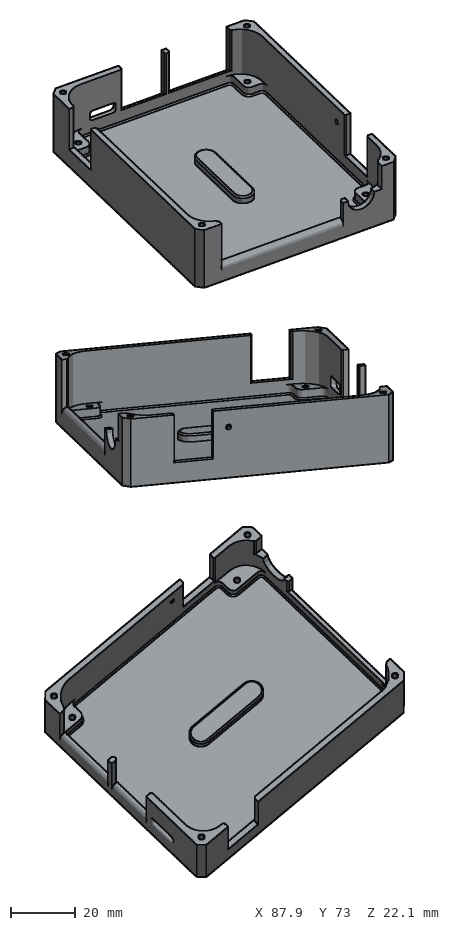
import cadquery as cq
import math

LENGTH = 87.9
WIDTH = 73.0
HEIGHT = 22.1
CORNER_CHAMFER = 2.1

WALL = 2.0
LEFT_WALL = 2.25
FLOOR = 1.8
CAVITY_RADIUS = 8.0
FLOOR_CHAMFER = 0.5
CAVITY_LEFT = LEFT_WALL - LENGTH / 2
CAVITY_RIGHT = LENGTH / 2 - WALL
CAVITY_BACK = WIDTH / 2 - WALL
CAVITY_FRONT = -CAVITY_BACK

SCREW_MOUTH_ANGLE = 45
SCREW_HOLE_DIAMETER = 1.62
SCREW_MOUTH_DIAMETER = 2.0
SCREW_MOUTH_DEPTH = (SCREW_MOUTH_DIAMETER - SCREW_HOLE_DIAMETER) / 2

BOSS_TOP = 5.0
BOSS_CORNER_RADIUS = 2.05
BOSS_ROOT_RADIUS = 1.65
BOSS_CORNERS = [(-32.85, 28.25), (29.8, 28.15), (-32.65, -28.1), (30.6, -29.15)]
BOSS_HOLES = [(-36.0, 30.5), (33.8, 30.5), (-36.0, -31.0), (33.8, -31.7)]
BOSS_HOLE_DEPTH = BOSS_TOP - FLOOR

LID_HOLE_X = 41.0
LID_HOLE_Y = 33.45
LID_HOLE_DEPTH = 10.0

PAD_CENTER = (0.45, -0.3)
PAD_LENGTH = 28.8
PAD_WIDTH = 7.2
PAD_HEIGHT = 2.5
PAD_CHAMFER = 0.55

SILL = 6.6
SILL_ROUNDING = 2.0
OPENING_FLARE = 0.45
INNER_CLEARANCE = 1.0
NOTCH_WIDTH = 12.65
FRONT_NOTCH_START = -32.5
BACK_NOTCH_START = 15.15
LEFT_OPENINGS = [(-11.5, 4.1), (5.8, 27.75)]
RIGHT_OPENING = (-28.1, 16.15)

CRADLE_TOP = 13.3
CRADLE_RADIUS = 4.75
CRADLE_Y = 22.65
RECESS_END = 30.1

SLOT_Y = -18.5
SLOT_Z = 8.55
SLOT_LENGTH = 9.4
SLOT_HEIGHT = 3.6
SLOT_CORNER_RADIUS = 1.03
SLOT_ENTRY_FILLET = 1.0

WALL_HOLE_DIAMETER = 1.62
WALL_HOLE_X = 10.15
WALL_HOLE_Z = 16.5


def block(x_range, y_range, z_range):
    """Box spanning the given ranges."""
    size = [end - start for start, end in (x_range, y_range, z_range)]
    corner = (x_range[0], y_range[0], z_range[0])
    return cq.Workplane("XY").box(*size, centered=False).translate(corner)


def shell():
    """Chamfered block with the rounded cavity above the corner bosses."""
    body = cq.Workplane("XY").rect(LENGTH, WIDTH).extrude(HEIGHT).edges("|Z").chamfer(CORNER_CHAMFER)
    cavity = block((CAVITY_LEFT, CAVITY_RIGHT), (CAVITY_FRONT, CAVITY_BACK), (BOSS_TOP, HEIGHT))
    return body.cut(cavity.edges("|Z").fillet(CAVITY_RADIUS))


def fillet_upright_edges(pocket, points, radius):
    """Fillet the vertical pocket edges that stand at the given plan points."""
    middle = (FLOOR + BOSS_TOP) / 2
    for x, y in points:
        edge = cq.selectors.NearestToPointSelector((x, y, middle))
        pocket = pocket.edges(edge).fillet(radius)
    return pocket


def lower_pocket():
    """Pocket between the bosses, with rounded corners and a chamfered floor edge."""
    z_range = (FLOOR, BOSS_TOP)
    pocket = block((CAVITY_LEFT, CAVITY_RIGHT), (CAVITY_FRONT, CAVITY_BACK), z_range)
    roots = []
    for x, y in BOSS_CORNERS:
        wall_x = CAVITY_RIGHT if x > 0 else CAVITY_LEFT
        wall_y = CAVITY_BACK if y > 0 else CAVITY_FRONT
        pocket = pocket.cut(block(sorted((x, wall_x)), sorted((y, wall_y)), z_range))
        roots += [(wall_x, y), (x, wall_y)]
    pocket = fillet_upright_edges(pocket, BOSS_CORNERS, BOSS_CORNER_RADIUS)
    pocket = fillet_upright_edges(pocket, roots, BOSS_ROOT_RADIUS)
    return pocket.faces("<Z").edges().chamfer(FLOOR_CHAMFER)


def screw_holes(points, top, depth):
    """Vertical blind screw holes, countersunk at the given height."""
    bore = cq.Workplane("XY", origin=(0, 0, top - depth)).pushPoints(points)
    bore = bore.circle(SCREW_HOLE_DIAMETER / 2).extrude(depth)
    mouth = cq.Workplane("XY", origin=(0, 0, top)).pushPoints(points)
    mouth = mouth.circle(SCREW_MOUTH_DIAMETER / 2).extrude(-SCREW_MOUTH_DEPTH, taper=SCREW_MOUTH_ANGLE)
    return bore.union(mouth)


def lid_holes():
    """Screw holes in the four rim corners."""
    points = [(x, y) for x in (-LID_HOLE_X, LID_HOLE_X) for y in (-LID_HOLE_Y, LID_HOLE_Y)]
    return screw_holes(points, HEIGHT, LID_HOLE_DEPTH)


def pad():
    """Round-ended pad with a chamfered top edge."""
    plane = cq.Workplane("XY", origin=(*PAD_CENTER, FLOOR))
    return plane.slot2D(PAD_LENGTH, PAD_WIDTH).extrude(PAD_HEIGHT).faces(">Z").chamfer(PAD_CHAMFER)


def opening(place, span, bottom, wall):
    """Cutter open to the rim. `place` turns (distance along wall, depth from outside) into (x, y)."""
    start, end = span
    flare_depth = wall - OPENING_FLARE
    wide_start = start - OPENING_FLARE
    wide_end = end + OPENING_FLARE
    inner_depth = wall + INNER_CLEARANCE
    outline = [
        (start, 0),
        (end, 0),
        (end, flare_depth),
        (wide_end, wall),
        (wide_end, inner_depth),
        (wide_start, inner_depth),
        (wide_start, wall),
        (start, flare_depth),
    ]
    plane = cq.Workplane("XY", origin=(0, 0, bottom))
    return plane.polyline([place(*point) for point in outline]).close().extrude(HEIGHT - bottom)


def on_front(along, depth):
    return (along, depth - WIDTH / 2)


def on_back(along, depth):
    return (along, WIDTH / 2 - depth)


def on_left(along, depth):
    return (depth - LENGTH / 2, along)


def on_right(along, depth):
    return (LENGTH / 2 - depth, along)


def sill_rounding(place, span):
    """Cutter that rounds the outer edge of a side wall sill."""
    outer_x = place(0, 0)[0]
    inner_x = place(0, SILL_ROUNDING)[0]
    low = SILL - SILL_ROUNDING
    strip = block(sorted((outer_x, inner_x)), span, (low, SILL))
    rod = cq.Workplane("XZ", origin=(inner_x, span[1], low))
    return strip.cut(rod.circle(SILL_ROUNDING).extrude(span[1] - span[0]))


def cradle():
    """Semicircular seat in the right wall and the recess above it."""
    offset = RECESS_END - (CAVITY_BACK - CAVITY_RADIUS)
    corner_thickening = CAVITY_RADIUS - math.sqrt(CAVITY_RADIUS**2 - offset**2)
    recess = opening(on_right, (RIGHT_OPENING[1], RECESS_END), CRADLE_TOP, WALL + corner_thickening)
    seat_depth = WALL + INNER_CLEARANCE
    seat = cq.Workplane("YZ", origin=(LENGTH / 2 - seat_depth, CRADLE_Y, CRADLE_TOP))
    return recess.union(seat.circle(CRADLE_RADIUS).extrude(seat_depth))


def cut_openings(body):
    """Cut every opening that runs up to the rim."""
    front_span = (FRONT_NOTCH_START, FRONT_NOTCH_START + NOTCH_WIDTH)
    back_span = (BACK_NOTCH_START, BACK_NOTCH_START + NOTCH_WIDTH)
    body = body.cut(opening(on_front, front_span, SILL, WALL))
    body = body.cut(opening(on_back, back_span, SILL, WALL))
    side_openings = [(on_left, span, LEFT_WALL) for span in LEFT_OPENINGS]
    side_openings.append((on_right, RIGHT_OPENING, WALL))
    for place, span, wall in side_openings:
        body = body.cut(opening(place, span, SILL, wall)).cut(sill_rounding(place, span))
    return body.cut(cradle())


def cut_slot(body):
    """Cut the rounded slot through the left wall and fillet its outer edge."""
    outer_x = -LENGTH / 2
    slot = cq.Workplane("XY").box(LEFT_WALL, SLOT_LENGTH, SLOT_HEIGHT)
    slot = slot.edges("|X").fillet(SLOT_CORNER_RADIUS)
    body = body.cut(slot.translate((outer_x + LEFT_WALL / 2, SLOT_Y, SLOT_Z)))
    margin = 0.1
    reach = (margin, SLOT_LENGTH / 2 + margin, SLOT_HEIGHT / 2 + margin)
    center = cq.Vector(outer_x, SLOT_Y, SLOT_Z)
    low = center - cq.Vector(*reach)
    high = center + cq.Vector(*reach)
    entry = cq.selectors.BoxSelector(low.toTuple(), high.toTuple())
    return body.edges(entry).fillet(SLOT_ENTRY_FILLET)


def back_wall_hole():
    """Small hole through the back wall."""
    plane = cq.Workplane("XZ", origin=(WALL_HOLE_X, WIDTH / 2, WALL_HOLE_Z))
    return plane.circle(WALL_HOLE_DIAMETER / 2).extrude(WALL)


result = shell().cut(lower_pocket()).union(pad())
result = cut_slot(result)
result = result.cut(screw_holes(BOSS_HOLES, BOSS_TOP, BOSS_HOLE_DEPTH)).cut(lid_holes())
result = cut_openings(result)
result = result.cut(back_wall_hole())